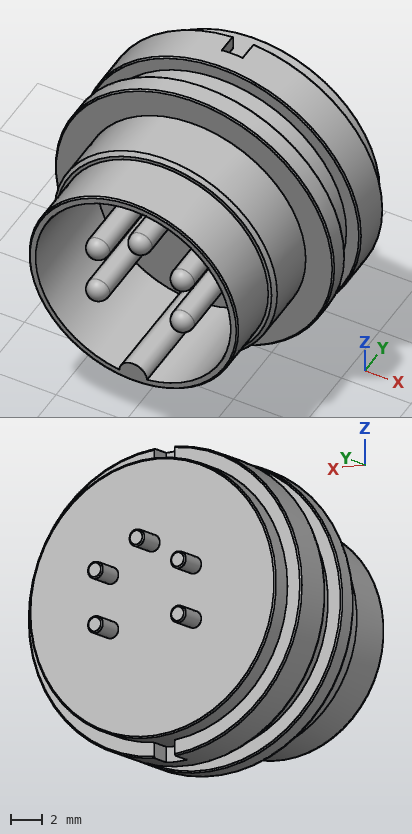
import cadquery as cq
import math

SLEEVE_START = 4.0
FLANGE_START = 8.0
FLANGE_END = 9.5
NUT_START = 11.5
NUT_END = 14.5
BODY_END = 16.0
OVERALL_LENGTH = 18.0

FRONT_RADIUS = 7.5
SLEEVE_RADIUS = 8.0
RIM_RADIUS = 10.0
NECK_RADIUS = 9.0
CAVITY_RADIUS = 7.0
CAVITY_DEPTH = 8.0

EDGE_CHAMFER = 0.1
SLEEVE_CHAMFER = 0.25

KEY_RADIUS = 1.0

SLOT_WIDTH = 1.5
SLOT_DEPTH = 1.5

PIN_CIRCLE_RADIUS = 3.5
PIN_ANGLES = (-30, 30, 90, 150, 210)
PIN_RADIUS = 0.8
PIN_TIP = 0.2
TAIL_RADIUS = 0.55


def cylinder(radius, start, end, x=0.0, z=0.0):
    """Solid cylinder along Y between two axial stations."""
    plane = cq.Workplane("XZ", origin=(x, start, z))
    return plane.circle(radius).extrude(start - end)


def chamfered(radius, start, end):
    """Cylinder along Y with both rims chamfered."""
    return cylinder(radius, start, end).edges().chamfer(EDGE_CHAMFER)


def shell():
    """Stepped body of revolution with the front socket bored out."""
    front = cylinder(FRONT_RADIUS, 0, SLEEVE_START).faces("<Y").edges().chamfer(EDGE_CHAMFER)
    sleeve = cylinder(SLEEVE_RADIUS, SLEEVE_START, FLANGE_START)
    sleeve = sleeve.faces("<Y").edges().chamfer(SLEEVE_CHAMFER)
    neck = cylinder(NECK_RADIUS, FLANGE_START, BODY_END).faces(">Y").edges().chamfer(EDGE_CHAMFER)
    flange = chamfered(RIM_RADIUS, FLANGE_START, FLANGE_END)
    body = front.union(sleeve).union(neck).union(flange)
    return body.cut(cylinder(CAVITY_RADIUS, 0, CAVITY_DEPTH))


def slotted_nut():
    """Ring nut with two opposite slots open to its rear face."""
    nut = chamfered(RIM_RADIUS, NUT_START, NUT_END)
    slots = cq.Workplane("XY").box(SLOT_WIDTH, SLOT_DEPTH, 2 * RIM_RADIUS)
    return nut.cut(slots.translate((0, NUT_END - SLOT_DEPTH / 2, 0)))


def key():
    """Round-topped rib along the bottom of the socket."""
    rib = cylinder(KEY_RADIUS, 0, CAVITY_DEPTH, z=-CAVITY_RADIUS)
    return rib.intersect(cylinder(CAVITY_RADIUS, 0, CAVITY_DEPTH))


def contact(angle):
    """Round-nosed pin in the socket with a thinner solder tail behind."""
    x = PIN_CIRCLE_RADIUS * math.cos(math.radians(angle))
    z = PIN_CIRCLE_RADIUS * math.sin(math.radians(angle))
    pin = cylinder(PIN_RADIUS, PIN_TIP + PIN_RADIUS, BODY_END, x, z)
    nose = cq.Workplane("XY").sphere(PIN_RADIUS).translate((x, PIN_TIP + PIN_RADIUS, z))
    tail = cylinder(TAIL_RADIUS, CAVITY_DEPTH, OVERALL_LENGTH, x, z)
    tail = tail.faces(">Y").edges().chamfer(EDGE_CHAMFER)
    return pin.union(nose).union(tail)


result = shell().union(slotted_nut()).union(key())
for pin_angle in PIN_ANGLES:
    result = result.union(contact(pin_angle))